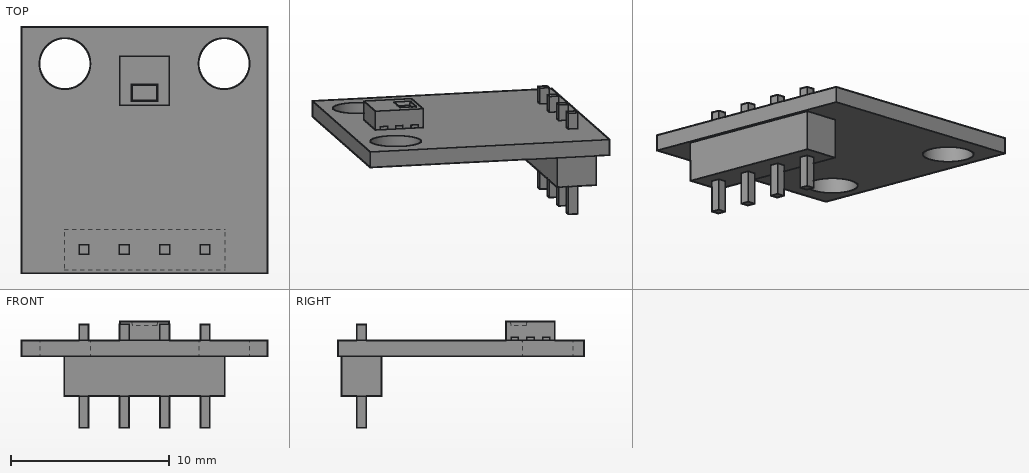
import cadquery as cq

board_side = 15.5
board_thickness = 1.0
mount_hole_diameter = 3.2
mount_hole_x = 5.0
mount_hole_y = 5.44

pin_count = 4
pin_pitch = 2.54
pin_width = 0.6
pin_rise = 1.0
pin_drop = 2.0
header_length = 10.1
header_width = pin_pitch
header_height = 2.5
header_y = -6.26

sensor_side = 3.08
sensor_height = 1.21
sensor_y = 4.37
window_length = 1.65
window_width = 1.05
window_depth = 0.25
window_taper = 12.0
window_y = 3.61

pad_count = 3
pad_pitch = 0.99
pad_width = 0.46
pad_height = 0.2
pad_projection = 0.005


def block(length, width, bottom, top, x=0.0, y=0.0):
    """Box centred at (x, y), spanning Z from bottom to top."""
    return (
        cq.Workplane("XY", origin=(x, y, bottom))
        .rect(length, width)
        .extrude(top - bottom)
    )


def row_positions(count, pitch):
    """Evenly spaced positions centred on zero."""
    return [(i - (count - 1) / 2) * pitch for i in range(count)]


def make_board():
    hole_centres = [(-mount_hole_x, mount_hole_y), (mount_hole_x, mount_hole_y)]
    holes = (
        cq.Workplane("XY")
        .pushPoints(hole_centres)
        .circle(mount_hole_diameter / 2)
        .extrude(board_thickness)
    )
    return block(board_side, board_side, 0, board_thickness).cut(holes)


def make_header():
    header = block(header_length, header_width, -header_height, 0, y=header_y)
    pin_bottom = -header_height - pin_drop
    pin_top = board_thickness + pin_rise
    for x in row_positions(pin_count, pin_pitch):
        header = header.union(block(pin_width, pin_width, pin_bottom, pin_top, x, header_y))
    return header


def make_sensor():
    base = board_thickness
    top = base + sensor_height
    sensor = block(sensor_side, sensor_side, base, top, y=sensor_y)
    pad_bar_length = sensor_side + 2 * pad_projection
    for offset in row_positions(pad_count, pad_pitch):
        sensor = sensor.union(
            block(pad_bar_length, pad_width, base, base + pad_height, y=sensor_y + offset)
        )
    window = (
        cq.Workplane("XY", origin=(0, window_y, top))
        .rect(window_length, window_width)
        .extrude(-window_depth, taper=window_taper)
    )
    return sensor.cut(window)


result = make_board().union(make_header()).union(make_sensor())